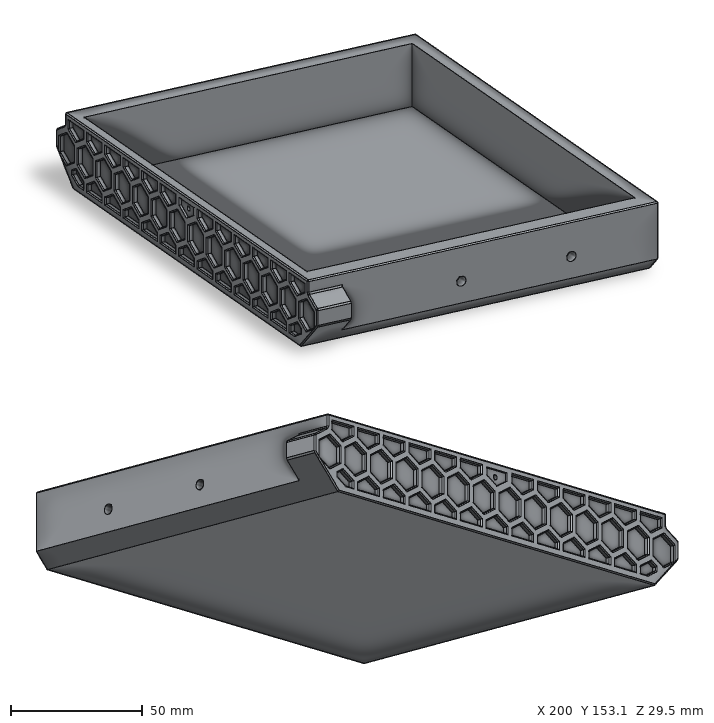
import cadquery as cq
import math

BODY_WIDTH = 186.0
BODY_DEPTH = 153.1
HEIGHT = 29.5
FRONT_Y = -BODY_DEPTH / 2
MID_Z = HEIGHT / 2

CAVITY_WIDTH = 170.5
BACK_WALL = 6.0
FRONT_WALL = 4.0
FLOOR = 3.5

OVERALL_WIDTH = 200.0
EAR_LENGTH = 15.0
EAR_ROOT_Z = 24.1
EAR_TOP_ANGLE = 30.0
BOTTOM_BEVEL = 13.0
EDGE_CHAMFER = 0.5

CELL_WIDTH = 11.1
CELL_PITCH = 14.124
CELL_CHAMFER = 0.45
CELLS_IN_MIDDLE_ROW = 14
CELL_DEPTH = 2.0
TOP_BORDER = 2.5
BOTTOM_BORDER = 3.1
ROW_PITCH = CELL_PITCH * math.sqrt(3) / 2

END_CELL_X = 87.5
END_CELL_Z = 5.8
END_CELL_ANGLE = 30.0

CENTRE_CELL_DEPTH = 1.0
FRONT_HOLE_DIAMETER = 2.0
FRONT_HOLE_Z = 24.3

SIDE_HOLE_DIAMETER = 4.0
SIDE_HOLE_DEPTH = 5.0
SIDE_HOLE_Z = 15.0
SIDE_HOLE_SPACING = 48.0
SIDE_HOLE_FROM_BACK = 38.1


def front_prism(points, length):
    """Prism of an (x, z) outline, running back from the front face."""
    plane = cq.Workplane("XZ", origin=(0, FRONT_Y, 0))
    return plane.polyline(points).close().extrude(-length)


def mirrored(right_points):
    """Closed outline from its right half, listed from bottom to top."""
    return right_points + [(-x, z) for x, z in reversed(right_points)]


def make_body():
    """Solid tray block with front ears and chamfered outer edges."""
    half_body = BODY_WIDTH / 2
    half_overall = OVERALL_WIDTH / 2
    ear_reach = half_overall - half_body
    half_bottom = half_overall - BOTTOM_BEVEL
    ear_tip_z = EAR_ROOT_Z - ear_reach * math.tan(math.radians(EAR_TOP_ANGLE))

    tray_right = [(half_bottom, 0), (half_body, BOTTOM_BEVEL - ear_reach), (half_body, HEIGHT)]
    front_right = [
        (half_bottom, 0),
        (half_overall, BOTTOM_BEVEL),
        (half_overall, ear_tip_z),
        (half_body, EAR_ROOT_Z),
        (half_body, HEIGHT),
    ]
    tray = front_prism(mirrored(tray_right), BODY_DEPTH)
    front = front_prism(mirrored(front_right), EAR_LENGTH)
    body = tray.union(front)
    upper_region = cq.selectors.BoxSelector(
        (-OVERALL_WIDTH, -BODY_DEPTH, BOTTOM_BEVEL - EDGE_CHAMFER),
        (OVERALL_WIDTH, BODY_DEPTH, HEIGHT + EDGE_CHAMFER),
    )
    long_edges = body.edges("|Y").edges(upper_region)
    rims = body.faces("<Y or >Y or >Z").edges()
    return long_edges.add(rims).chamfer(EDGE_CHAMFER)


def make_cavity():
    length = BODY_DEPTH - FRONT_WALL - BACK_WALL
    return (
        cq.Workplane("XY", origin=(0, FRONT_Y + FRONT_WALL + length / 2, FLOOR))
        .rect(CAVITY_WIDTH, length)
        .extrude(HEIGHT - FLOOR)
    )


def make_cell(x, z, depth, field=None):
    """Hexagonal prism with upright sides, trimmed to the field if one is given."""
    radius = CELL_WIDTH / math.sqrt(3)
    angles = [math.pi / 6 + math.pi / 3 * i for i in range(6)]
    corners = [(x + radius * math.cos(a), z + radius * math.sin(a)) for a in angles]
    cell = front_prism(corners, depth)
    return cell.intersect(field) if field else cell


def row_positions(count):
    """X of each cell centre in a row, symmetric about X = 0."""
    return [(i - (count - 1) / 2) * CELL_PITCH for i in range(count)]


def make_field():
    """Region inside the borders, which trims the top and bottom rows."""
    slope = math.tan(math.radians(END_CELL_ANGLE))
    bottom_corner_x = END_CELL_X - (END_CELL_Z - BOTTOM_BORDER) / slope
    lower_right = [(bottom_corner_x, BOTTOM_BORDER), (END_CELL_X, END_CELL_Z), (END_CELL_X, MID_Z)]
    upper_right = [(BODY_WIDTH / 2, MID_Z), (BODY_WIDTH / 2, HEIGHT - TOP_BORDER)]
    return front_prism(mirrored(lower_right + upper_right), CELL_DEPTH)


def rim_chamfer(cell):
    """Flared ring that widens the mouth of a cell at 45 degrees."""
    mouth = cell.faces("<Y").wires().val().offset2D(CELL_CHAMFER, "intersection")
    front_plane = cq.Workplane("XZ", origin=(0, FRONT_Y, 0))
    return front_plane.add(mouth).toPending().extrude(-CELL_CHAMFER, taper=45)


def cut_cells(body):
    """Cut the three rows of cells and chamfer the rim of all but the shallow one."""
    field = make_field()
    top_z = MID_Z + ROW_PITCH
    bottom_z = MID_Z - ROW_PITCH
    outer_row = row_positions(CELLS_IN_MIDDLE_ROW - 1)
    cells = [make_cell(x, MID_Z, CELL_DEPTH) for x in row_positions(CELLS_IN_MIDDLE_ROW)]
    cells += [make_cell(x, bottom_z, CELL_DEPTH, field) for x in outer_row]
    cells += [make_cell(x, top_z, CELL_DEPTH, field) for x in outer_row if x != 0]
    cutters = [cell.union(rim_chamfer(cell)) for cell in cells]
    cutters.append(make_cell(0, top_z, CENTRE_CELL_DEPTH, field))
    return body.cut(cq.Compound.makeCompound([cutter.val() for cutter in cutters]))


def make_front_hole():
    return (
        cq.Workplane("XZ", origin=(0, FRONT_Y, FRONT_HOLE_Z))
        .circle(FRONT_HOLE_DIAMETER / 2)
        .extrude(-FRONT_WALL)
    )


def make_side_holes():
    back_hole_y = BODY_DEPTH / 2 - SIDE_HOLE_FROM_BACK
    hole_positions = [(back_hole_y, SIDE_HOLE_Z), (back_hole_y - SIDE_HOLE_SPACING, SIDE_HOLE_Z)]
    right_holes = (
        cq.Workplane("YZ", origin=(BODY_WIDTH / 2, 0, 0))
        .pushPoints(hole_positions)
        .circle(SIDE_HOLE_DIAMETER / 2)
        .extrude(-SIDE_HOLE_DEPTH)
    )
    return right_holes.union(right_holes.mirror("YZ"))


result = cut_cells(make_body().cut(make_cavity()))
result = result.cut(make_front_hole()).cut(make_side_holes())